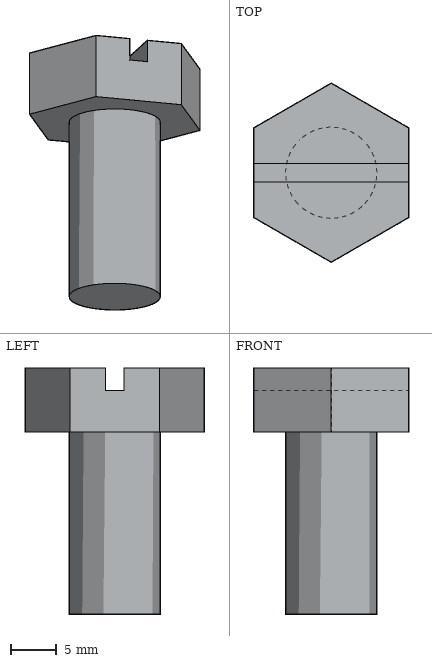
import cadquery as cq
import math

total_length = 27.0
head_height = 7.02
across_flats = 17.0
shank_diameter = 10.0
slot_width = 2.0
slot_depth = 2.45

shank_length = total_length - head_height
across_corners = across_flats / math.cos(math.pi / 6)


def make_head():
    """Hexagonal prism with two corners on the Y axis and two flats facing X."""
    hexagon = cq.Workplane("XY").polygon(6, across_corners)
    return hexagon.extrude(head_height).rotate((0, 0, 0), (0, 0, 1), 90)


def make_shank():
    """Plain cylinder hanging below the head."""
    return cq.Workplane("XY").circle(shank_diameter / 2).extrude(-shank_length)


def make_slot():
    """Screwdriver slot running along X from flat to flat."""
    slot_floor = cq.Workplane("XY").workplane(offset=head_height - slot_depth)
    return slot_floor.rect(across_corners, slot_width).extrude(slot_depth)


result = make_head().union(make_shank()).cut(make_slot())